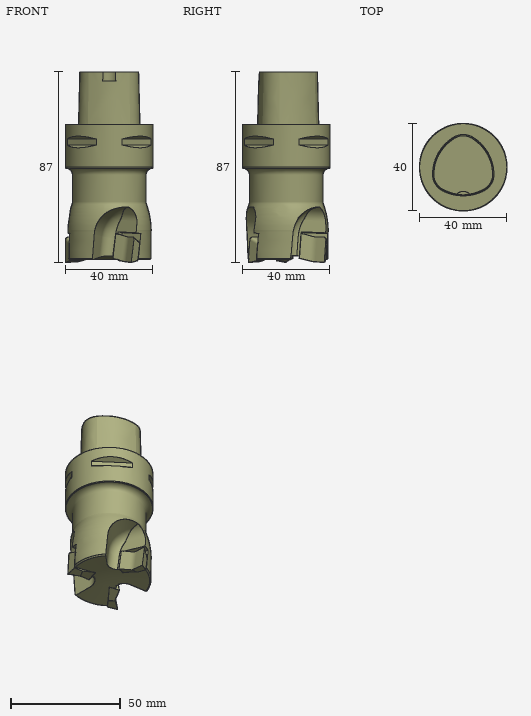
import cadquery as cq
import math

shank_length = 24.0
overall_length = 87.0
tip_z = shank_length - overall_length

corner_reach = 14.9
flat_reach = 13.1
corner_radius = 8.5
taper_angle = math.degrees(math.atan(1 / 40))

notch_radius = 3.9
notch_bottom_reach = 11.0
notch_depth = 4.2

flange_radius = 20.0
flange_length = 20.0
flange_edge_height = 0.5
neck_radius = 33.63 / 2
neck_fillet = 3.0
neck_end_z = -35.6
flare_z = -36.3
flare_radius = 17.0
shoulder_mid_z = -39.2
shoulder_mid_radius = 17.9
shoulder_z = -42.1
shoulder_radius = 18.55
head_mid_z = -45.2
head_mid_radius = 19.02
head_top_z = -48.2
head_radius = 19.2
land_top_z = -49.0
land_radius = 19.15
head_bottom_z = -61.7
head_bottom_radius = 19.05
bottom_chamfer = 0.6
dish_z = -58.9

groove_count = 4
groove_z = -8.0
groove_floor_reach = 17.65
groove_floor_half_width = 1.3
groove_side_angle = 30.0

tooth_count = 3
first_tooth_angle = 60.0
tip_radius = 20.0
axial_rake = 8.0

cutting_land = (-6.1, 0.0)
inner_front = (-11.4, -3.3)
inner_back = (-12.95, 0.9)
outer_back = (-1.8, 4.3)
rake_fillet = 4.4
insert_edge_length = 11.8
top_relief = 21.0
bottom_relief = 17.0
land_rise = 4.0
inner_rise = 22.0
insert_corner_radius = 1.5
pocket_height = 13.9

seat_slope = (outer_back[1] - inner_back[1]) / (outer_back[0] - inner_back[0])
seat_angle = math.degrees(math.atan(seat_slope))

gullet_turn = 37.0
gullet_floor = -0.3
gullet_wall = -5.9
gullet_fillet = 5.0
gullet_runout_radius = 14.6
gullet_runout_height = 10.7
gullet_back_depth = 1.1
gullet_back_corner = 6.0
clearance = 30.0


def polar(radius, angle):
    """Point at a polar position, with the angle in degrees."""
    return (radius * math.cos(math.radians(angle)), radius * math.sin(math.radians(angle)))


def on_tooth(shape, angle):
    """Move a shape from the tooth frame to the tooth at the given angle."""
    tilted = shape.rotate((0, 0, 0), (1, 0, 0), -axial_rake)
    placed = tilted.translate((tip_radius, 0, tip_z))
    return placed.rotate((0, 0, 0), (0, 0, 1), angle)


def make_shank():
    corner_centre = corner_reach - corner_radius
    gap = flat_reach - corner_radius
    broad_centre = (corner_centre**2 - gap**2) / (2 * gap - corner_centre)
    broad_radius = broad_centre + flat_reach
    centre_x, centre_y = polar(corner_centre, 30)
    join_direction = math.atan2(centre_y + broad_centre, centre_x)
    join_x = broad_radius * math.cos(join_direction)
    join_y = broad_radius * math.sin(join_direction) - broad_centre
    join_radius = math.hypot(join_x, join_y)
    join_angle = math.degrees(math.atan2(join_y, join_x)) - 30

    outline = cq.Workplane("XY").moveTo(*polar(join_radius, 90 - join_angle))
    for corner in (90, 210, 330):
        outline = outline.threePointArc(polar(corner_reach, corner), polar(join_radius, corner + join_angle))
        next_join = polar(join_radius, corner + 120 - join_angle)
        outline = outline.threePointArc(polar(flat_reach, corner + 60), next_join)
    shank = outline.close().extrude(shank_length, taper=taper_angle)

    notch = (
        cq.Workplane("XY", origin=(0, -notch_bottom_reach - notch_radius, shank_length - notch_depth))
        .circle(notch_radius)
        .extrude(2 * notch_depth)
    )
    return shank.cut(notch)


def make_turned_body():
    fillet_middle = neck_fillet * (1 - math.sqrt(0.5))
    profile = (
        cq.Workplane("XZ")
        .lineTo(flange_radius, 0)
        .lineTo(flange_radius, flange_edge_height - flange_length)
        .lineTo(neck_radius + neck_fillet, -flange_length)
        .threePointArc(
            (neck_radius + fillet_middle, -flange_length - fillet_middle),
            (neck_radius, -flange_length - neck_fillet),
        )
        .lineTo(neck_radius, neck_end_z)
        .lineTo(flare_radius, flare_z)
        .threePointArc((shoulder_mid_radius, shoulder_mid_z), (shoulder_radius, shoulder_z))
        .threePointArc((head_mid_radius, head_mid_z), (head_radius, head_top_z))
        .lineTo(land_radius, land_top_z)
        .lineTo(head_bottom_radius, head_bottom_z + bottom_chamfer)
        .lineTo(head_bottom_radius - bottom_chamfer, head_bottom_z)
        .lineTo(0, dish_z)
        .close()
    )
    return profile.revolve(360, (0, 0, 0), (0, 1, 0))


def make_gripper_groove(angle):
    depth = 2 * (flange_radius - groove_floor_reach)
    spread = groove_floor_half_width + depth * math.tan(math.radians(groove_side_angle))
    groove = (
        cq.Workplane("XZ", origin=(groove_floor_reach, 0, groove_z))
        .moveTo(0, -groove_floor_half_width)
        .lineTo(depth, -spread)
        .lineTo(depth, spread)
        .lineTo(0, groove_floor_half_width)
        .close()
        .extrude(flange_radius, both=True)
    )
    return groove.rotate((0, 0, 0), (0, 0, 1), angle)


def make_gullet():
    """Gullet in the tooth frame. Its section is drawn with x along the slot walls."""
    fillet_middle = gullet_fillet * (1 - math.sqrt(0.5))
    runout_axis = gullet_floor + gullet_runout_radius
    gullet_top = gullet_runout_height + gullet_runout_radius

    def section(outer_reach):
        return (
            cq.Workplane("XY", origin=(0, 0, gullet_runout_height))
            .moveTo(gullet_floor, -clearance)
            .lineTo(gullet_floor, gullet_wall - gullet_fillet)
            .threePointArc(
                (gullet_floor + fillet_middle, gullet_wall - fillet_middle),
                (gullet_floor + gullet_fillet, gullet_wall),
            )
            .lineTo(outer_reach, gullet_wall)
            .lineTo(outer_reach, -clearance)
            .close()
        )

    straight = section(clearance).extrude(-clearance)
    runout = section(runout_axis).revolve(90, (runout_axis, 0, 0), (runout_axis, 1, 0))
    outlet = (
        cq.Workplane("XY", origin=(0, 0, gullet_runout_height))
        .moveTo(runout_axis, gullet_wall)
        .lineTo(clearance, gullet_wall)
        .lineTo(clearance, -clearance)
        .lineTo(runout_axis, -clearance)
        .close()
        .extrude(gullet_runout_radius)
    )
    gullet = straight.union(runout).union(outlet)
    gullet = gullet.rotate((0, 0, 0), (0, 0, 1), gullet_turn).translate((-tip_radius, 0, 0))

    back_limit = (
        cq.Workplane("XY", origin=(0, -clearance, -clearance))
        .box(2 * clearance, 2 * clearance, clearance + gullet_top, centered=(True, True, False))
        .edges("|X and >Z and >Y")
        .fillet(gullet_back_corner)
        .rotate((0, 0, 0), (0, 0, 1), seat_angle)
        .translate((outer_back[0], gullet_back_depth, 0))
    )
    return gullet.intersect(back_limit)


def make_insert_pocket():
    """Seat, inner wall and ceiling around the insert, in the tooth frame."""
    outer_reach = tip_radius / 2
    seat_end = (outer_reach, outer_back[1] + seat_slope * (outer_reach - outer_back[0]))
    return (
        cq.Workplane("XY", origin=(0, 0, -tip_radius))
        .polyline([inner_front, inner_back, seat_end, (outer_reach, inner_front[1])])
        .close()
        .extrude(tip_radius + pocket_height)
    )


def make_insert():
    """Cutting insert in the tooth frame."""
    blank = (
        cq.Workplane("XY", origin=(0, 0, -insert_edge_length))
        .polyline([(0, 0), cutting_land, inner_front, inner_back, outer_back])
        .close()
        .extrude(3 * insert_edge_length)
        .edges(cq.NearestToPointSelector((*cutting_land, insert_edge_length / 2)))
        .fillet(rake_fillet)
    )
    size = 4 * insert_edge_length
    above = cq.Workplane("XY").box(size, size, size, centered=(True, True, False))
    above = above.rotate((0, 0, 0), (1, 0, 0), -top_relief).translate((0, 0, insert_edge_length))
    insert = blank.cut(above)

    end_block = cq.Workplane("XY").box(size, size, size, centered=(True, True, False)).translate((0, 0, -size))
    end_block = end_block.rotate((0, 0, 0), (1, 0, 0), bottom_relief)
    land_end = end_block.rotate((0, 0, 0), (0, 1, 0), land_rise)
    inner_end = end_block.rotate((0, 0, 0), (0, 1, 0), inner_rise)
    land_height = -cutting_land[0] * math.tan(math.radians(land_rise))
    inner_end = inner_end.translate((cutting_land[0], 0, land_height))
    tip_side = cq.Workplane("XY").box(size, size, 2 * size).translate((cutting_land[0] + size / 2, 0, 0))
    insert = insert.cut(land_end).cut(inner_end.cut(tip_side))
    outer_corner = (outer_back[0] / 2, outer_back[1] / 2, insert_edge_length)
    return insert.edges(cq.NearestToPointSelector(outer_corner)).fillet(insert_corner_radius)


tooth_angles = [first_tooth_angle + i * 360 / tooth_count for i in range(tooth_count)]

holder = make_turned_body().union(make_shank())
for i in range(groove_count):
    holder = holder.cut(make_gripper_groove(45 + i * 360 / groove_count))
gullet = make_gullet()
insert_pocket = make_insert_pocket()
for angle in tooth_angles:
    holder = holder.cut(on_tooth(gullet, angle))
    holder = holder.cut(on_tooth(insert_pocket, angle))

insert = make_insert()
inserts = [on_tooth(insert, angle) for angle in tooth_angles]

result = cq.Compound.makeCompound([holder.val(), *[piece.val() for piece in inserts]])